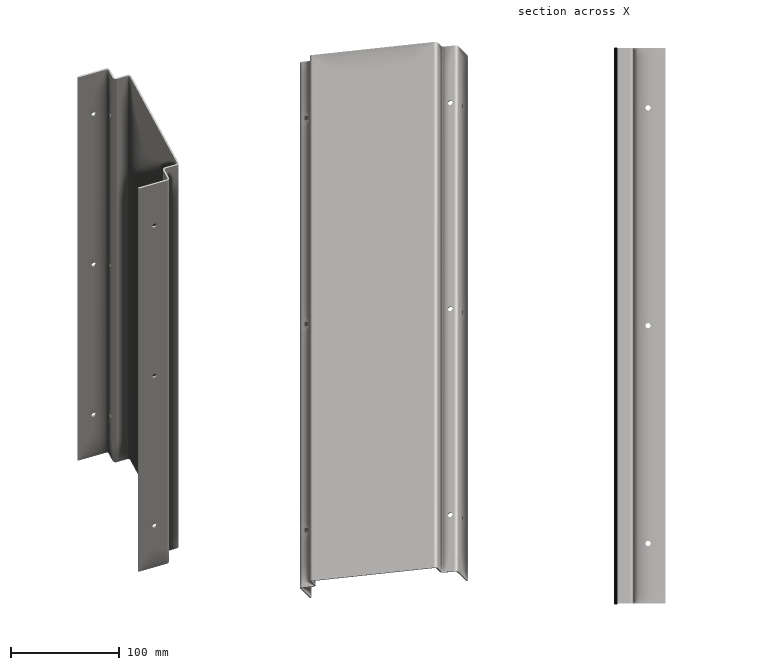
import cadquery as cq

length = 510.0
width = 153.0
depth = 46.5

thickness = 1.5
inner_radius = 1.5
outer_radius = inner_radius + thickness

web_width = 123.5
ledge_depth = 15.5

hole_diameter = 4.5
hole_pitch = 200.0
ledge_hole_x = 69.5
flange_hole_setback = 16.0

hole_heights = [-hole_pitch, 0, hole_pitch]
back_y = depth / 2
front_y = -depth / 2
ledge_y = back_y - ledge_depth


def sheet_prism(total_width, back):
    """Full-length block from the open front to the given back plane."""
    return (
        cq.Workplane("XY")
        .box(total_width, back - front_y, length)
        .translate((0, (back + front_y) / 2, 0))
    )


def half_outline(side):
    """Corner points of one half of the section's back surface, front edge to web."""
    return [
        (side * width / 2, front_y),
        (side * width / 2, ledge_y),
        (side * web_width / 2, ledge_y),
        (side * web_width / 2, back_y),
    ]


def make_channel():
    """Sheet with three bends on each half of its stepped section."""
    outer_points = half_outline(-1) + half_outline(1)[::-1]
    outer = cq.Workplane("XY").polyline(outer_points).close().extrude(length / 2, both=True)
    cavity = sheet_prism(width - 2 * thickness, ledge_y - thickness).union(
        sheet_prism(web_width - 2 * thickness, back_y - thickness)
    )
    channel = outer.cut(cavity)

    bends = [
        (width / 2, ledge_y, outer_radius, inner_radius),
        (web_width / 2, ledge_y, inner_radius, outer_radius),
        (web_width / 2, back_y, outer_radius, inner_radius),
    ]
    for side in (-1, 1):
        for x, y, back_radius, front_radius in bends:
            back_edge = cq.selectors.NearestToPointSelector((side * x, y, 0))
            front_edge = cq.selectors.NearestToPointSelector(
                (side * (x - thickness), y - thickness, 0)
            )
            channel = channel.edges("|Z").edges(back_edge).fillet(back_radius)
            channel = channel.edges("|Z").edges(front_edge).fillet(front_radius)
    return channel


def cut_ledge_holes(body):
    """Holes through both ledges, front to back."""
    points = [(side * ledge_hole_x, z) for side in (-1, 1) for z in hole_heights]
    drills = cq.Workplane("XZ").pushPoints(points).circle(hole_diameter / 2).extrude(depth, both=True)
    return body.cut(drills)


def cut_flange_holes(body):
    """Holes across both side flanges."""
    points = [(front_y + flange_hole_setback, z) for z in hole_heights]
    drills = cq.Workplane("YZ").pushPoints(points).circle(hole_diameter / 2).extrude(width, both=True)
    return body.cut(drills)


result = cut_flange_holes(cut_ledge_holes(make_channel()))